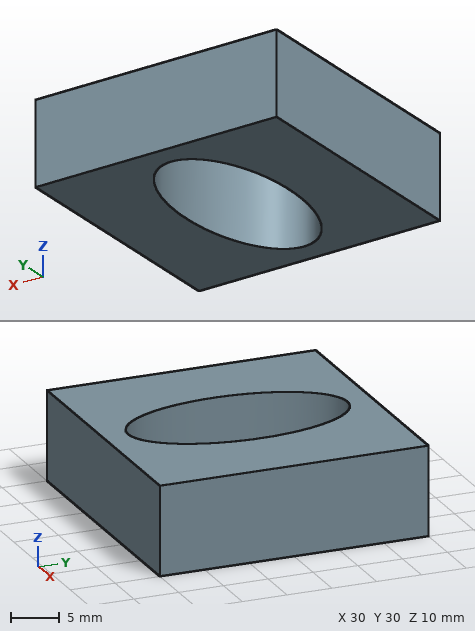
import cadquery as cq

side = 30.0
thickness = 10.0

opening_width = 12.7
opening_length = 24.45

block = cq.Workplane("XY").box(side, side, thickness)

opening = (
    cq.Workplane("XY")
    .workplane(offset=-thickness / 2)
    .ellipse(opening_width / 2, opening_length / 2)
    .extrude(thickness)
)

result = block.cut(opening)